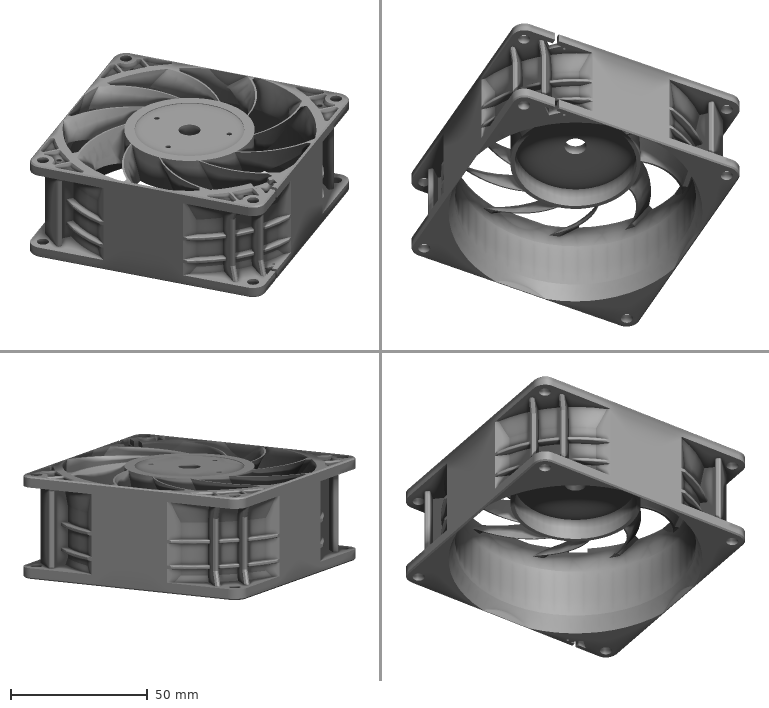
import cadquery as cq
import math


tip_to_tip = 126.0
height = 38.1
corner_radius = 4.9
flange_thickness = 4.0
edge_chamfer = 0.5
half_side = tip_to_tip / 2 / math.sqrt(2) + corner_radius * (1 - 1 / math.sqrt(2))
upper_flange_z = height - flange_thickness

throat_radius = 44.1
mouth_radius = 46.4
mouth_half_side = 45.3
throat_bottom_z = 6.4
throat_top_z = 26.1
duct_outer_radius = 46.5
duct_lower_radius = 47.4
duct_upper_radius = 48.0
core_half_width = 43.6

rib_radius = 49.2
rib_height = 1.4
rib_fillet = 0.4
rib_levels = [9.8, 19.3]

cover_half_width = 5.8
cover_reach = 55.2
cover_thickness = 2.3
cover_edge_radius = 0.8
web_half_thickness = 0.5
plate_inner_offset = 4.5
plate_thickness = 2.0
plate_edge_chamfer = 0.6
plate_reach = 56.1
plate_waist_reach = 53.3
plate_taper_height = 5.3
support_start = 44.8
support_sink = 1.3

screw_hole_distance = 58.4
screw_hole_radius = 2.2
screw_boss_radius = 4.0
pocket_depth = 1.5
pocket_taper = 25.0
pocket_corner_radius = 0.9
pocket_inner_y = 49.5
pocket_outer_y = 56.2
pocket_inner_radius = 49.8
center_pocket_half_width = 4.8
side_pocket_start = 5.5
side_pocket_inset = 1.1
dimple_radius = 1.0
dimple_depth = 1.3
dimple_distance = 51.9

cable_notch_depth = 2.0
cable_notch_x = (42.9, 50.5)
cable_notch_y = (4.4, 11.6)
cable_hook_x = (46.9, 49.7)
cable_hook_y = 13.2
cable_hole_x = 50.5
cable_hole_y = 6.9
cable_hole_half_side = 44.0
cable_ledge_x = (50.5, 55.2)
cable_ledge_y = 6.3
cable_slot_offset = 30.1
cable_slot_width = 1.6
cable_slot_start = 42.9
cable_side_pocket_y = 3.7
hook_hole_center = (49.0, 12.4)
hook_hole_radius = 0.5

hub_radius = 23.8
hub_bottom_z = 25.2
hub_cap_thickness = 4.3
hub_skirt_thickness = 1.5
hub_recess_radius = 20.0
hub_recess_depth = 0.3
shaft_hole_radius = 4.0
hub_dimple_distance = 14.9
hub_dimple_angles = [55, 210, 305]

blade_count = 10
blade_radii = [23.1, 35.3, 47.3]
blade_top_angles = [18.9, 40.1, 58.0]
blade_bottom_angles = [33.0, 53.7, 79.5]
gusset_start_radius = 43.4
gusset_top_angle = 53.2
gusset_top_sweep = 5.5
gusset_bottom_angle = 71.5
gusset_bottom_sweep = 8.8
blade_thickness_angle = 1.5
blade_tip_bottom_z = 31.9
wall_overlap = 0.1


def diamond(half, z_bottom, z_top):
    """Square prism with its corners on the X and Y axes."""
    prism = cq.Workplane("XY").rect(2 * half, 2 * half).extrude(z_top - z_bottom)
    return prism.rotate((0, 0, 0), (0, 0, 1), 45).translate((0, 0, z_bottom))


def box(x_range, y_range, z_range):
    """Axis-aligned box between pairs of limits."""
    size = [high - low for low, high in (x_range, y_range, z_range)]
    start = (x_range[0], y_range[0], z_range[0])
    return cq.Workplane("XY").box(*size, centered=False).translate(start)


def cylinder(radius, z_bottom, z_top, x=0.0, y=0.0):
    """Upright cylinder between two heights."""
    return cq.Workplane("XY", origin=(x, y, z_bottom)).circle(radius).extrude(z_top - z_bottom)


def turn(shape, angle):
    """Rotate about the fan axis."""
    return shape.rotate((0, 0, 0), (0, 0, 1), angle)


def polar(radius, angle):
    """Point in the XY plane from a radius and an angle in degrees."""
    return (radius * math.cos(math.radians(angle)), radius * math.sin(math.radians(angle)))


def air_passage(growth=0.0):
    """Space inside the duct, cut off flat where the mouths meet the frame sides."""
    profile = [
        (0, 0),
        (mouth_radius + growth, 0),
        (throat_radius + growth, throat_bottom_z),
        (throat_radius + growth, throat_top_z),
        (mouth_radius + growth, height),
        (0, height),
    ]
    passage = cq.Workplane("XZ").polyline(profile).close().revolve(360, (0, 0), (0, 1))
    return passage.intersect(diamond(mouth_half_side + growth, 0, height))


def flange(z_bottom):
    plate = diamond(half_side, z_bottom, z_bottom + flange_thickness).edges("|Z").fillet(corner_radius)
    outer_face = ">Z" if z_bottom > 0 else "<Z"
    return plate.faces(outer_face).edges().chamfer(edge_chamfer)


def duct_wall():
    profile = [
        (0, flange_thickness),
        (duct_lower_radius, flange_thickness),
        (duct_outer_radius, throat_bottom_z),
        (duct_outer_radius, throat_top_z),
        (duct_upper_radius, upper_flange_z),
        (0, upper_flange_z),
    ]
    return cq.Workplane("XZ").polyline(profile).close().revolve(360, (0, 0), (0, 1))


def ring_rib(z_middle):
    rib = cylinder(rib_radius, z_middle - rib_height / 2, z_middle + rib_height / 2)
    return rib.edges().fillet(rib_fillet)


def covered_web():
    """T-shaped support at the +Y corner: a thin web behind a wide cover."""
    z_range = (flange_thickness, upper_flange_z)
    cover_start = cover_reach - cover_thickness
    cover = box((-cover_half_width, cover_half_width), (cover_start, cover_reach), z_range)
    cover = cover.edges("|Z").fillet(cover_edge_radius)
    return cover.union(box((-web_half_thickness, web_half_thickness), (support_start, cover_start), z_range))


def corner_plates():
    """Pair of waisted plates at the +X corner, their ends sunk into the flanges."""
    bottom_z = flange_thickness - support_sink
    top_z = upper_flange_z + support_sink
    outline = [
        (support_start, bottom_z),
        (plate_reach, bottom_z),
        (plate_reach, flange_thickness),
        (plate_waist_reach, flange_thickness + plate_taper_height),
        (plate_waist_reach, upper_flange_z - plate_taper_height),
        (plate_reach, upper_flange_z),
        (plate_reach, top_z),
        (support_start, top_z),
    ]
    plate = cq.Workplane("XZ", origin=(0, -plate_inner_offset, 0)).polyline(outline).close()
    plate = plate.extrude(plate_thickness).faces("|Y").edges().chamfer(plate_edge_chamfer)
    return plate.union(plate.mirror("XZ"))


def frame_body():
    core_width = (-core_half_width, core_half_width)
    core = box(core_width, core_width, (0, height))
    body = core.union(duct_wall())
    for level in rib_levels:
        body = body.union(ring_rib(level))
    body = body.intersect(diamond(half_side, flange_thickness, upper_flange_z))
    for angle in (0, 180):
        body = body.union(turn(covered_web(), angle))
        body = body.union(turn(corner_plates(), angle))
    body = body.union(flange(0)).union(flange(upper_flange_z))
    return body.cut(air_passage())


def sink(outline):
    """Pocket with rounded corners and sloping walls, sunk into the top face from an outline."""
    rounded = outline.offset2D(-pocket_corner_radius).offset2D(pocket_corner_radius)
    return rounded.extrude(-pocket_depth, taper=pocket_taper)


def center_pocket(left_end):
    """Pocket beside the screw hole, leaving a round boss standing around the hole."""
    corners = [
        (left_end, pocket_inner_y),
        (center_pocket_half_width, pocket_inner_y),
        (center_pocket_half_width, pocket_outer_y),
        (left_end, pocket_outer_y),
    ]
    pocket = sink(cq.Workplane("XY", origin=(0, 0, height)).polyline(corners).close())
    boss = cq.Workplane("XY", origin=(0, screw_hole_distance, height)).circle(screw_boss_radius)
    return pocket.cut(boss.extrude(-pocket_depth, taper=-pocket_taper))


def side_pocket():
    """Three-sided pocket that follows the frame side and the duct mouth."""
    side_sum = (half_side - side_pocket_inset) * math.sqrt(2)
    arc_start_y = math.sqrt(pocket_inner_radius**2 - side_pocket_start**2)
    arc_end_x = (side_sum - math.sqrt(2 * pocket_inner_radius**2 - side_sum**2)) / 2
    arc_middle_x = (side_pocket_start + arc_end_x) / 2
    arc_middle_y = math.sqrt(pocket_inner_radius**2 - arc_middle_x**2)
    outline = (
        cq.Workplane("XY", origin=(0, 0, height))
        .moveTo(side_pocket_start, arc_start_y)
        .threePointArc((arc_middle_x, arc_middle_y), (arc_end_x, side_sum - arc_end_x))
        .lineTo(side_sum - pocket_outer_y, pocket_outer_y)
        .lineTo(side_pocket_start, pocket_outer_y)
        .close()
    )
    return sink(outline)


def corner_cuts(has_cable_exit):
    """Screw hole and pockets; the cable exit takes the place of one side pocket."""
    left_end = -cable_side_pocket_y if has_cable_exit else -center_pocket_half_width
    cuts = cylinder(screw_hole_radius, 0, height, y=screw_hole_distance)
    cuts = cuts.union(center_pocket(left_end))
    dimple_bottom_z = height - pocket_depth - dimple_depth
    cuts = cuts.union(cylinder(dimple_radius, dimple_bottom_z, height, y=dimple_distance))
    cuts = cuts.union(side_pocket())
    if not has_cable_exit:
        cuts = cuts.union(side_pocket().mirror("YZ"))
    return cuts


def cable_exit():
    """Notch open to the duct, a through hole beside it and a slot out through the frame side."""
    notch_z = (height - cable_notch_depth, height)
    notch = box(cable_notch_x, cable_notch_y, notch_z)
    hook = box(cable_hook_x, (cable_notch_y[0], cable_hook_y), notch_z)
    hole = box((cable_hole_x, tip_to_tip / 2), (cable_hole_y, tip_to_tip / 2), (0, height))
    hole = hole.intersect(diamond(cable_hole_half_side, 0, height))
    slot_y = (-cable_slot_offset - cable_slot_width / 2, -cable_slot_offset + cable_slot_width / 2)
    slot = turn(box((cable_slot_start, tip_to_tip / 2), slot_y, (0, height)), 45)
    ledge = box(cable_ledge_x, (cable_ledge_y, cable_hole_y), notch_z)
    hook_hole = cylinder(hook_hole_radius, 0, height, *hook_hole_center)
    return notch.union(hook).union(hole).union(ledge).union(slot).union(hook_hole)


def hub():
    """Cup open at the bottom, with a shallow round recess and a shaft hole in its cap."""
    cup = cylinder(hub_radius, hub_bottom_z, height)
    cup = cup.cut(cylinder(hub_radius - hub_skirt_thickness, hub_bottom_z, height - hub_cap_thickness))
    cup = cup.cut(cylinder(hub_recess_radius, height - hub_recess_depth, height))
    cup = cup.cut(cylinder(shaft_hole_radius, hub_bottom_z, height))
    for angle in hub_dimple_angles:
        x, y = polar(hub_dimple_distance, angle)
        cup = cup.cut(cylinder(dimple_radius, height - hub_recess_depth - dimple_depth, height, x, y))
    return cup


def blade_section(angles, z):
    """Curved blade strip at one height, its two long edges turned apart by the blade thickness."""
    root, middle, tip = [polar(r, a) for r, a in zip(blade_radii, angles)]
    back_root, back_middle, back_tip = [
        polar(r, a + blade_thickness_angle) for r, a in zip(blade_radii, angles)
    ]
    strip = cq.Workplane("XY", origin=(0, 0, z)).moveTo(*root).threePointArc(middle, tip)
    return strip.lineTo(*back_tip).threePointArc(back_middle, back_root).close().val()


def gusset_section(angle, sweep, z):
    """Triangle at one height that widens the blade where it meets the duct."""
    corners = [
        polar(gusset_start_radius, angle),
        polar(blade_radii[2], angle),
        polar(blade_radii[2], angle + sweep),
    ]
    return cq.Workplane("XY", origin=(0, 0, z)).polyline(corners).close().val()


def lofted(lower_section, upper_section):
    return cq.Workplane(cq.Solid.makeLoft([lower_section, upper_section], True))


def blade():
    body = lofted(blade_section(blade_bottom_angles, hub_bottom_z), blade_section(blade_top_angles, height))
    gusset = lofted(
        gusset_section(gusset_bottom_angle, gusset_bottom_sweep, hub_bottom_z),
        gusset_section(gusset_top_angle, gusset_top_sweep, height),
    )
    return body.union(gusset)


def blade_space():
    """Ring between hub and duct whose floor rises towards the blade tips."""
    inner_radius = hub_radius - hub_skirt_thickness / 2
    outer_radius = mouth_radius + wall_overlap
    profile = [
        (inner_radius, hub_bottom_z),
        (hub_radius, hub_bottom_z),
        (throat_radius, blade_tip_bottom_z),
        (outer_radius, blade_tip_bottom_z),
        (outer_radius, height),
        (inner_radius, height),
    ]
    space = cq.Workplane("XZ").polyline(profile).close().revolve(360, (0, 0), (0, 1))
    return space.intersect(air_passage(wall_overlap))


def blades():
    """All blades, each trimmed after turning because the duct mouth has flat sides."""
    untrimmed = blade()
    room = blade_space()
    turned = [turn(untrimmed, index * 360 / blade_count) for index in range(blade_count)]
    return [one.intersect(room).val() for one in turned]


frame_cuts = [turn(corner_cuts(angle == 270), angle).val() for angle in (0, 90, 180, 270)]
frame = frame_body().val().cut(*frame_cuts, cable_exit().val())
fan = frame.fuse(hub().val(), *blades()).clean()
result = cq.Workplane(fan.Solids()[0])